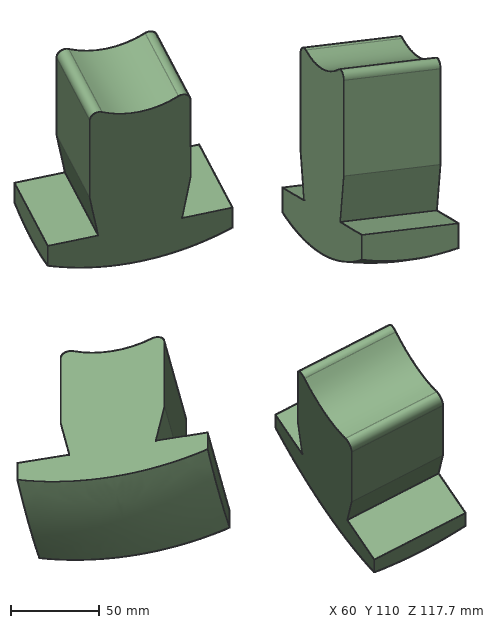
import cadquery as cq
import math

width = 60.0
foot_length = 110.0
foot_top = 28.2
dome_radius = 150.0
stem_thickness = 60.0
neck_thickness = 50.0
taper_angle = 10.0
total_height = 117.7
saddle_radius = 50.0
lip_radius = 5.0

half_stem = stem_thickness / 2
half_neck = neck_thickness / 2
half_foot = foot_length / 2
taper_height = (half_stem - half_neck) / math.tan(math.radians(taper_angle))
taper_top = foot_top + taper_height

lip_center_y = half_stem - lip_radius
lip_center_z = total_height - lip_radius
center_distance = saddle_radius + lip_radius
saddle_rise = math.sqrt(center_distance**2 - lip_center_y**2)
saddle_bottom = lip_center_z + saddle_rise - saddle_radius
tangent_y = lip_center_y * saddle_radius / center_distance
tangent_z = lip_center_z + saddle_rise * lip_radius / center_distance


def make_profile_body():
    """Foot and stem outline in the YZ plane, extruded along X."""
    return (
        cq.Workplane("YZ")
        .moveTo(-half_foot, 0)
        .lineTo(half_foot, 0)
        .lineTo(half_foot, foot_top)
        .lineTo(half_neck, foot_top)
        .lineTo(half_stem, taper_top)
        .lineTo(half_stem, lip_center_z)
        .threePointArc((lip_center_y, total_height), (tangent_y, tangent_z))
        .threePointArc((0, saddle_bottom), (-tangent_y, tangent_z))
        .threePointArc((-lip_center_y, total_height), (-half_stem, lip_center_z))
        .lineTo(-half_stem, taper_top)
        .lineTo(-half_neck, foot_top)
        .lineTo(-half_foot, foot_top)
        .close()
        .extrude(width / 2, both=True)
    )


def make_dome_ball():
    """Ball whose lower surface forms the domed underside."""
    return cq.Workplane("XY").sphere(dome_radius).translate((0, 0, dome_radius))


result = make_profile_body().intersect(make_dome_ball())